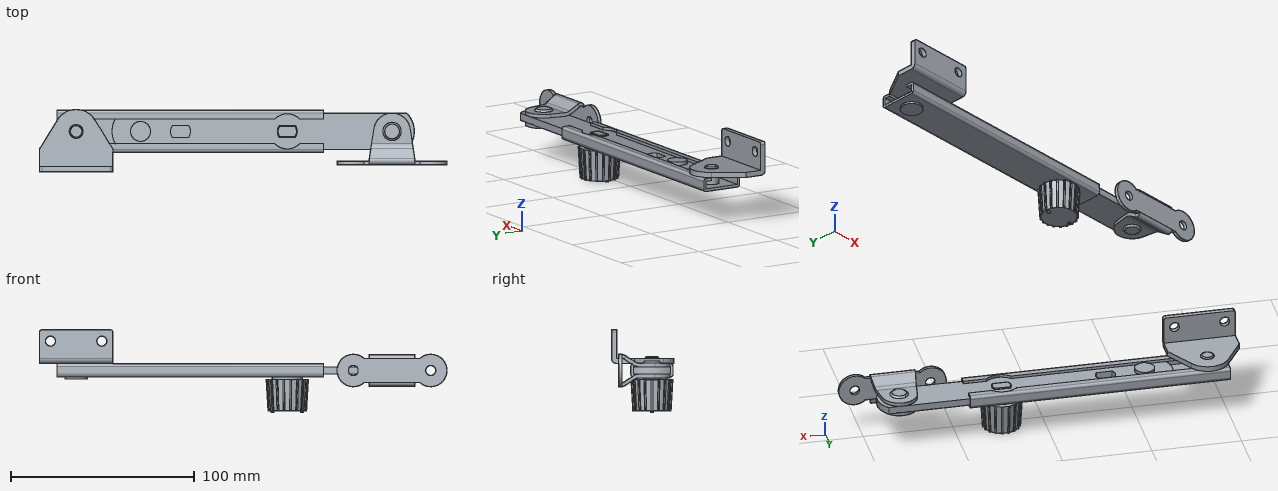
import cadquery as cq
import math


STOP_PIN_X = 35.0
SPARE_SLOT_X = 56.8
KNOB_X = 115.0
END_PIVOT_X = 172.0

RAIL_START_X = -10.5
RAIL_LENGTH = 145.2
RAIL_WIDTH = 23.0
RAIL_HEIGHT = 7.3
RAIL_WALL = 1.5
RAIL_OPENING = 13.3
LIP_CUTOUT_RADIUS = 9.5
RAIL_TOP = RAIL_HEIGHT / 2
RAIL_BOTTOM = -RAIL_TOP
RAIL_FLOOR = RAIL_BOTTOM + RAIL_WALL
LIP_UNDERSIDE = RAIL_TOP - RAIL_WALL

BAR_START_X = 19.5
BAR_LENGTH = 164.7
BAR_THICKNESS = 4.0
BAR_WIDTH = RAIL_WIDTH - 2 * RAIL_WALL
BAR_END_RADIUS = 14.0
BAR_TOP = RAIL_FLOOR + BAR_THICKNESS
BAR_MIDDLE = RAIL_FLOOR + BAR_THICKNESS / 2

SLOT_DIAMETER = 10.9
SLOT_WIDTH = 6.5
STOP_PIN_DIAMETER = 10.9
STOP_PIN_PROJECTION = 1.8

ANGLE_WIDTH = 40.0
ANGLE_HEIGHT = 18.5
ANGLE_SHEET = 2.9
ANGLE_TIP_RADIUS = 12.0
ANGLE_FRONT_Y = -22.0
ANGLE_SHOULDER_Y = -9.5
ANGLE_BEND_RADIUS = 2.7
ANGLE_CORNER_RADIUS = 1.3
ANGLE_HOLE_SPACING = 28.0
ANGLE_HOLE_DROP = 6.2
ANGLE_TOP = RAIL_TOP + ANGLE_HEIGHT
SCREW_HOLE_DIAMETER = 5.3

PIVOT_SHANK_DIAMETER = 8.0
PIVOT_TIP_DIAMETER = 7.5
PIVOT_TIP_PROJECTION = 0.9
PIVOT_TIP_CHAMFER = 0.7
PIVOT_HEAD_DIAMETER = 12.5
PIVOT_HEAD_HEIGHT = 1.0

END_SHEET = 2.0
END_PLATE_FRONT_Y = -18.2
END_DISC_RADIUS = 8.9
END_HOLE_SPACING = 42.2
END_NECK_HEIGHT = 13.3
LUG_RADIUS = 10.0
LUG_BASE_WIDTH = 24.9
LUG_BASE_Y = -14.7
LUG_FLAT_END_Y = -6.7
LUG_SLOPE = math.radians(33)
LUG_BEND_RADIUS = 4.9
PLATE_BEND_RADIUS = 2.2
LUG_TOP = BAR_TOP + END_SHEET

END_RIVET_SHANK_DIAMETER = 8.0
END_RIVET_HEAD_DIAMETER = 10.0
END_RIVET_FACE_DIAMETER = 8.0
END_RIVET_HEAD_HEIGHT = 1.0

WASHER_DIAMETER = 16.6
WASHER_THICKNESS = 1.3
KNOB_HEIGHT = 17.0
KNOB_TOP_DIAMETER = 23.0
KNOB_BOTTOM_DIAMETER = 21.0
KNOB_RIB_COUNT = 18
KNOB_RIB_WIDTH = 0.9
KNOB_RIB_DEPTH = 0.7
KNOB_NUB_DIAMETER = 1.8
KNOB_NUB_OFFSET = 8.0
KNOB_NUB_HEIGHT = 0.9
BOLT_DIAMETER = 6.0
BOLT_DEPTH_IN_KNOB = 13.3
BOLT_HEAD_PROJECTION = 0.7
BOLT_HEAD_CHAMFER = 0.5
KNOB_TOP = RAIL_BOTTOM - WASHER_THICKNESS
KNOB_BOTTOM = KNOB_TOP - KNOB_HEIGHT
BOLT_END = KNOB_TOP - BOLT_DEPTH_IN_KNOB


def cylinder(diameter, bottom, top, x=0.0):
    """Upright cylinder on the centre line Y = 0."""
    return cq.Workplane("XY", origin=(x, 0, bottom)).circle(diameter / 2).extrude(top - bottom)


def cone(bottom_diameter, top_diameter, bottom, top, x=0.0):
    """Upright truncated cone on the centre line Y = 0."""
    solid = cq.Solid.makeCone(
        bottom_diameter / 2, top_diameter / 2, top - bottom, cq.Vector(x, 0, bottom)
    )
    return cq.Workplane(solid)


def double_d(x, bottom, top):
    """Round post with two flats parallel to X."""
    flats = cq.Workplane("XY", origin=(x, 0, bottom)).rect(SLOT_DIAMETER, SLOT_WIDTH).extrude(top - bottom)
    return cylinder(SLOT_DIAMETER, bottom, top, x).intersect(flats)


def tapered_tongue(x, tip_radius, half_width, shoulder_y, base_y, bottom, top):
    """Plate with a round tip about (x, 0), tangent flanks and a straight base."""
    reach = math.hypot(half_width, shoulder_y)
    tangent_angle = math.atan2(shoulder_y, half_width) + math.acos(tip_radius / reach)
    tangent_x = tip_radius * math.cos(tangent_angle)
    tangent_y = tip_radius * math.sin(tangent_angle)
    return (
        cq.Workplane("XY", origin=(x, 0, bottom))
        .moveTo(-half_width, base_y)
        .lineTo(half_width, base_y)
        .lineTo(half_width, shoulder_y)
        .lineTo(tangent_x, tangent_y)
        .threePointArc((0, tip_radius), (-tangent_x, tangent_y))
        .lineTo(-half_width, shoulder_y)
        .close()
        .extrude(top - bottom)
    )


def screw_holes(x, spacing, z, depth):
    """A pair of cutters along Y that start at the XZ plane and run toward -Y."""
    return (
        cq.Workplane("XZ", origin=(x, 0, z))
        .pushPoints([(-spacing / 2, 0), (spacing / 2, 0)])
        .circle(SCREW_HOLE_DIAMETER / 2)
        .extrude(depth)
    )


def make_rail():
    section = cq.Workplane("YZ", origin=(RAIL_START_X, 0, 0))
    rail = section.rect(RAIL_WIDTH, RAIL_HEIGHT).extrude(RAIL_LENGTH).edges("|X").fillet(RAIL_WALL)
    cavity = section.rect(BAR_WIDTH, LIP_UNDERSIDE - RAIL_FLOOR).extrude(RAIL_LENGTH)
    opening = section.center(0, RAIL_TOP / 2).rect(RAIL_OPENING, RAIL_TOP).extrude(RAIL_LENGTH)
    rail = rail.cut(cavity).cut(opening)
    rail = rail.cut(cylinder(2 * LIP_CUTOUT_RADIUS, 0, RAIL_TOP, KNOB_X))
    rail = rail.cut(cylinder(PIVOT_SHANK_DIAMETER, RAIL_BOTTOM, RAIL_FLOOR))
    return rail.cut(cylinder(BOLT_DIAMETER, RAIL_BOTTOM, RAIL_FLOOR, KNOB_X))


def make_bar():
    half_width = BAR_WIDTH / 2
    bar_end_x = BAR_START_X + BAR_LENGTH
    bulge = BAR_END_RADIUS - math.sqrt(BAR_END_RADIUS**2 - half_width**2)
    bar = (
        cq.Workplane("XY", origin=(0, 0, RAIL_FLOOR))
        .moveTo(BAR_START_X + bulge, -half_width)
        .lineTo(bar_end_x - bulge, -half_width)
        .threePointArc((bar_end_x, 0), (bar_end_x - bulge, half_width))
        .lineTo(BAR_START_X + bulge, half_width)
        .threePointArc((BAR_START_X, 0), (BAR_START_X + bulge, -half_width))
        .close()
        .extrude(BAR_THICKNESS)
    )
    for slot_x in (SPARE_SLOT_X, KNOB_X):
        bar = bar.cut(double_d(slot_x, RAIL_FLOOR, BAR_TOP))
    bar = bar.cut(cylinder(STOP_PIN_DIAMETER, RAIL_FLOOR, BAR_TOP, STOP_PIN_X))
    return bar.cut(cylinder(END_RIVET_SHANK_DIAMETER, RAIL_FLOOR, BAR_TOP, END_PIVOT_X))


def make_stop_pin():
    return cylinder(STOP_PIN_DIAMETER, RAIL_FLOOR, BAR_TOP + STOP_PIN_PROJECTION, STOP_PIN_X)


def make_angle_bracket():
    half_width = ANGLE_WIDTH / 2
    foot = tapered_tongue(
        0, ANGLE_TIP_RADIUS, half_width, ANGLE_SHOULDER_Y, ANGLE_FRONT_Y, RAIL_TOP, RAIL_TOP + ANGLE_SHEET
    )
    wall = (
        cq.Workplane("XY", origin=(0, ANGLE_FRONT_Y + ANGLE_SHEET / 2, RAIL_TOP))
        .rect(ANGLE_WIDTH, ANGLE_SHEET)
        .extrude(ANGLE_HEIGHT)
        .edges("|Y and >Z")
        .fillet(ANGLE_CORNER_RADIUS)
    )
    bracket = foot.union(wall).edges("|X and <Y and <Z").fillet(ANGLE_BEND_RADIUS)
    bracket = bracket.cut(
        screw_holes(0, ANGLE_HOLE_SPACING, ANGLE_TOP - ANGLE_HOLE_DROP, -ANGLE_FRONT_Y)
    )
    return bracket.cut(cylinder(PIVOT_TIP_DIAMETER, RAIL_TOP, RAIL_TOP + ANGLE_SHEET))


def make_pivot_rivet():
    tip_top = RAIL_TOP + ANGLE_SHEET + PIVOT_TIP_PROJECTION
    head = cylinder(PIVOT_HEAD_DIAMETER, RAIL_BOTTOM - PIVOT_HEAD_HEIGHT, RAIL_BOTTOM)
    shank = cylinder(PIVOT_SHANK_DIAMETER, RAIL_BOTTOM, RAIL_TOP)
    tip = cylinder(PIVOT_TIP_DIAMETER, RAIL_TOP, tip_top).faces(">Z").chamfer(PIVOT_TIP_CHAMFER)
    return head.union(shank).union(tip)


def lug_strip():
    """Upper lug, its slope and half of the plate, as one bent strip along X."""
    sine = math.sin(LUG_SLOPE)
    cosine = math.cos(LUG_SLOPE)
    half_slope_angle = LUG_SLOPE / 2
    crown_angle = (LUG_SLOPE - math.pi / 2) / 2
    lug_bend = (LUG_FLAT_END_Y, LUG_TOP + LUG_BEND_RADIUS)

    plate_bend_y = END_PLATE_FRONT_Y + PLATE_BEND_RADIUS
    foot_y = lug_bend[0] - LUG_BEND_RADIUS * sine
    foot_z = lug_bend[1] - LUG_BEND_RADIUS * cosine
    slope_top_y = plate_bend_y + PLATE_BEND_RADIUS * sine
    slope_top_z = foot_z + (foot_y - slope_top_y) * math.tan(LUG_SLOPE)
    plate_bend = (plate_bend_y, slope_top_z - PLATE_BEND_RADIUS * cosine)

    def around(centre, radius, side, up):
        return (centre[0] + radius * side, centre[1] + radius * up)

    def on_lug_bend(radius, angle):
        return around(lug_bend, radius, -math.sin(angle), -math.cos(angle))

    def on_plate_bend(radius, angle):
        return around(plate_bend, radius, math.sin(angle), math.cos(angle))

    outer_lug_radius = LUG_BEND_RADIUS + END_SHEET
    inner_plate_radius = PLATE_BEND_RADIUS - END_SHEET
    plate_side = -math.pi / 2
    return (
        cq.Workplane("YZ", origin=(END_PIVOT_X - LUG_BASE_WIDTH / 2, 0, 0))
        .moveTo(LUG_RADIUS, LUG_TOP)
        .lineTo(*on_lug_bend(LUG_BEND_RADIUS, 0))
        .threePointArc(
            on_lug_bend(LUG_BEND_RADIUS, half_slope_angle), on_lug_bend(LUG_BEND_RADIUS, LUG_SLOPE)
        )
        .lineTo(*on_plate_bend(PLATE_BEND_RADIUS, LUG_SLOPE))
        .threePointArc(
            on_plate_bend(PLATE_BEND_RADIUS, crown_angle), on_plate_bend(PLATE_BEND_RADIUS, plate_side)
        )
        .lineTo(END_PLATE_FRONT_Y, BAR_MIDDLE)
        .lineTo(END_PLATE_FRONT_Y + END_SHEET, BAR_MIDDLE)
        .lineTo(*on_plate_bend(inner_plate_radius, plate_side))
        .threePointArc(
            on_plate_bend(inner_plate_radius, crown_angle), on_plate_bend(inner_plate_radius, LUG_SLOPE)
        )
        .lineTo(*on_lug_bend(outer_lug_radius, LUG_SLOPE))
        .threePointArc(
            on_lug_bend(outer_lug_radius, half_slope_angle), on_lug_bend(outer_lug_radius, 0)
        )
        .lineTo(LUG_RADIUS, BAR_TOP)
        .close()
        .extrude(LUG_BASE_WIDTH)
    )


def make_end_bracket():
    upper = lug_strip()
    lower = upper.mirror("XY", (0, 0, BAR_MIDDLE))
    trim_height = 2 * END_DISC_RADIUS
    outline = tapered_tongue(
        END_PIVOT_X,
        LUG_RADIUS,
        LUG_BASE_WIDTH / 2,
        LUG_BASE_Y,
        END_PLATE_FRONT_Y,
        BAR_MIDDLE - trim_height,
        BAR_MIDDLE + trim_height,
    )
    lugs = upper.union(lower).intersect(outline)
    lugs = lugs.cut(
        cylinder(END_RIVET_SHANK_DIAMETER, BAR_MIDDLE - trim_height, BAR_MIDDLE + trim_height, END_PIVOT_X)
    )

    plate_back = cq.Workplane("XZ", origin=(END_PIVOT_X, END_PLATE_FRONT_Y + END_SHEET, BAR_MIDDLE))
    neck = plate_back.rect(END_HOLE_SPACING, END_NECK_HEIGHT).extrude(END_SHEET)
    discs = (
        plate_back.pushPoints([(-END_HOLE_SPACING / 2, 0), (END_HOLE_SPACING / 2, 0)])
        .circle(END_DISC_RADIUS)
        .extrude(END_SHEET)
    )
    bracket = lugs.union(neck).union(discs)
    return bracket.cut(screw_holes(END_PIVOT_X, END_HOLE_SPACING, BAR_MIDDLE, -END_PLATE_FRONT_Y))


def make_end_rivet():
    lug_bottom = RAIL_FLOOR - END_SHEET
    shank = cylinder(END_RIVET_SHANK_DIAMETER, lug_bottom, LUG_TOP, END_PIVOT_X)
    head = cone(
        END_RIVET_HEAD_DIAMETER, END_RIVET_FACE_DIAMETER, LUG_TOP, LUG_TOP + END_RIVET_HEAD_HEIGHT, END_PIVOT_X
    )
    return shank.union(head).union(head.mirror("XY", (0, 0, BAR_MIDDLE)))


def make_washer():
    washer = cylinder(WASHER_DIAMETER, KNOB_TOP, RAIL_BOTTOM, KNOB_X)
    return washer.cut(cylinder(BOLT_DIAMETER, KNOB_TOP, RAIL_BOTTOM, KNOB_X))


def make_knob():
    rib_inset = 2 * KNOB_RIB_DEPTH
    envelope = cone(KNOB_BOTTOM_DIAMETER, KNOB_TOP_DIAMETER, KNOB_BOTTOM, KNOB_TOP, KNOB_X)
    knob = cone(
        KNOB_BOTTOM_DIAMETER - rib_inset, KNOB_TOP_DIAMETER - rib_inset, KNOB_BOTTOM, KNOB_TOP, KNOB_X
    )
    for index in range(KNOB_RIB_COUNT // 2):
        rib_pair = (
            cq.Workplane("XY", origin=(KNOB_X, 0, KNOB_BOTTOM))
            .transformed(rotate=(0, 0, index * 360 / KNOB_RIB_COUNT))
            .rect(KNOB_TOP_DIAMETER, KNOB_RIB_WIDTH)
            .extrude(KNOB_HEIGHT)
        )
        knob = knob.union(rib_pair.intersect(envelope))
    for side in (-1, 1):
        nub_x = KNOB_X + side * KNOB_NUB_OFFSET
        knob = knob.union(cylinder(KNOB_NUB_DIAMETER, KNOB_BOTTOM - KNOB_NUB_HEIGHT, KNOB_BOTTOM, nub_x))
    return knob.cut(cylinder(BOLT_DIAMETER, BOLT_END, KNOB_TOP, KNOB_X))


def make_bolt():
    head_top = BAR_TOP + BOLT_HEAD_PROJECTION
    head = double_d(KNOB_X, RAIL_FLOOR, head_top).faces(">Z").chamfer(BOLT_HEAD_CHAMFER)
    return head.union(cylinder(BOLT_DIAMETER, BOLT_END, RAIL_FLOOR, KNOB_X))


rail = make_rail()
bar = make_bar()
stop_pin = make_stop_pin()
angle_bracket = make_angle_bracket()
pivot_rivet = make_pivot_rivet()
end_bracket = make_end_bracket()
end_rivet = make_end_rivet()
washer = make_washer()
knob = make_knob()
bolt = make_bolt()

result = cq.Compound.makeCompound(
    [
        rail.val(),
        bar.val(),
        stop_pin.val(),
        angle_bracket.val(),
        pivot_rivet.val(),
        end_bracket.val(),
        end_rivet.val(),
        washer.val(),
        knob.val(),
        bolt.val(),
    ]
)